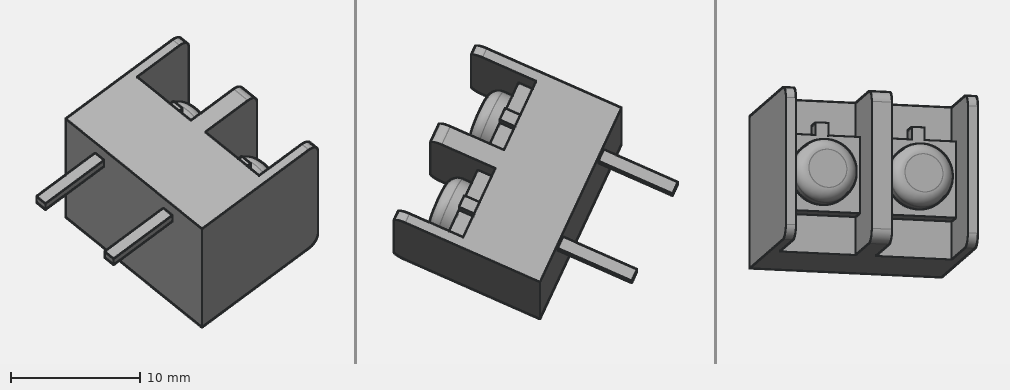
import cadquery as cq


pole_count = 2
width = 15.24
height = 12.0
length = 18.7
pin_length = 6.28
housing_depth = length - pin_length
pole_pitch = width / pole_count

outer_wall = 0.8
bay_width = pole_pitch - 2 * outer_wall
bay_depth = 5.54
corner_radius = 1.0

pin_width = 1.01
pin_thickness = 0.75
pin_inset = 1.25

plate_thickness = 1.5
plate_height = bay_width

head_diameter = 5.0
head_height = 1.98
head_radius = 1.0

bay_floor_y = housing_depth - bay_depth
plate_face_y = bay_floor_y + plate_thickness
middle_z = height / 2


def block(x, size_x, y_start, y_end, z, size_z):
    """Box centred on x and z that runs from y_start to y_end."""
    size_y = y_end - y_start
    return cq.Workplane("XY").box(size_x, size_y, size_z).translate((x, y_start + size_y / 2, z))


def housing():
    """Solid housing with its front top and bottom edges rounded."""
    body = block(0, width, 0, housing_depth, middle_z, height)
    return body.faces(">Y").edges("|X").fillet(corner_radius)


def bay(x):
    """Open space between two walls, running through the full height."""
    return block(x, bay_width, bay_floor_y, housing_depth, middle_z, height)


def clamp_plate(x):
    """Plate on the bay floor; its tab is as wide as the pin and ends level with the pin's underside."""
    plate = block(x, bay_width, bay_floor_y, plate_face_y, middle_z, plate_height)
    tab_top_z = height - pin_inset - pin_thickness
    tab_height = tab_top_z - middle_z
    tab = block(x, pin_width, bay_floor_y, plate_face_y, middle_z + tab_height / 2, tab_height)
    return plate.union(tab)


def pin(x):
    """Straight pin sticking out of the back of the housing."""
    pin_z = height - pin_inset - pin_thickness / 2
    return block(x, pin_width, -pin_length, bay_floor_y, pin_z, pin_thickness)


def screw_head(x):
    """Round head standing on the clamp plate, with a rounded rim."""
    plate_face = cq.Workplane("XZ", origin=(x, plate_face_y, middle_z))
    head = plate_face.circle(head_diameter / 2).extrude(-head_height)
    return head.faces(">Y").edges().fillet(head_radius)


result = housing()
for pole in range(pole_count):
    pole_x = (pole - (pole_count - 1) / 2) * pole_pitch
    result = result.cut(bay(pole_x))
    result = result.union(clamp_plate(pole_x))
    result = result.union(pin(pole_x))
    result = result.union(screw_head(pole_x))